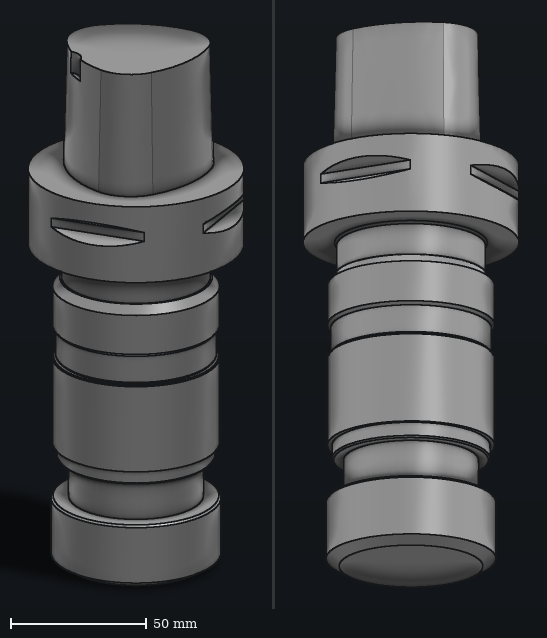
import cadquery as cq
import math

total_height = 203.0

nut_diameter = 63.0
nut_tip_diameter = 53.2
nut_tip_height = 2.8
nut_top = 25.5
nut_top_chamfer = 0.8
lower_neck_diameter = 50.0
collar_bottom = 41.0
collar_diameter = 58.5
collar_chamfer = 0.6
sleeve_bottom = 46.7
sleeve_top = 80.8
sleeve_diameter = 62.0
sleeve_top_chamfer = 0.5
band_top = 92.0
band_diameter = 59.5
undercut_diameter = 58.0
undercut_height = 0.8
ring_top = 112.1
ring_diameter = sleeve_diameter
ring_lower_cone_height = 1.2
ring_top_diameter = 56.5
ring_cone_height = 3.5
upper_neck_diameter = 55.0
neck_relief_height = 1.0
neck_relief_diameter = 56.5

shank_height = 48.0
flange_height = 30.0
flange_diameter = 80.0
flange_top = total_height - shank_height
flange_bottom = flange_top - flange_height
pocket_count = 4
pocket_drop = 12.0
pocket_center_z = flange_top - pocket_drop
first_pocket_angle = 45
pocket_clearance = 2.0
pocket_floor_distance = 35.3
pocket_floor_height = 3.5
pocket_wall_angle = 30.0

lobe_reach = 29.7
flat_reach = 25.4
lobe_radius = 16.7
lobe_center = lobe_reach - lobe_radius
taper_ratio = 1 / 40
shank_taper = math.degrees(math.atan(taper_ratio))

notch_radius = 7.3
notch_floor_y = -22.3
notch_height = 8.3


def polar(radius, degrees):
    angle = math.radians(degrees)
    return (radius * math.cos(angle), radius * math.sin(angle))


def make_body():
    """Revolved body from the nut to the top of the flange."""
    outline = [
        (0, 0),
        (nut_tip_diameter / 2, 0),
        (nut_diameter / 2, nut_tip_height),
        (nut_diameter / 2, nut_top - nut_top_chamfer),
        (nut_diameter / 2 - nut_top_chamfer, nut_top),
        (lower_neck_diameter / 2, nut_top),
        (lower_neck_diameter / 2, collar_bottom),
        (collar_diameter / 2 - collar_chamfer, collar_bottom),
        (collar_diameter / 2, collar_bottom + collar_chamfer),
        (collar_diameter / 2, sleeve_bottom),
        (sleeve_diameter / 2, sleeve_bottom),
        (sleeve_diameter / 2, sleeve_top - sleeve_top_chamfer),
        (sleeve_diameter / 2 - sleeve_top_chamfer, sleeve_top),
        (undercut_diameter / 2, sleeve_top),
        (band_diameter / 2, sleeve_top + undercut_height),
        (band_diameter / 2, band_top),
        (ring_diameter / 2, band_top + ring_lower_cone_height),
        (ring_diameter / 2, ring_top - ring_cone_height),
        (ring_top_diameter / 2, ring_top),
        (upper_neck_diameter / 2, ring_top),
        (upper_neck_diameter / 2, flange_bottom - neck_relief_height),
        (neck_relief_diameter / 2, flange_bottom),
        (flange_diameter / 2, flange_bottom),
        (flange_diameter / 2, flange_top),
        (0, flange_top),
    ]
    return cq.Workplane("XZ").polyline(outline).close().revolve(360, (0, 0), (0, 1))


def make_pocket(direction):
    """V-shaped cutter with a flat floor, pointing along the given direction."""
    outer = flange_diameter / 2 + pocket_clearance
    floor_half = pocket_floor_height / 2
    flare = (outer - pocket_floor_distance) * math.tan(math.radians(pocket_wall_angle))
    section = [
        (pocket_floor_distance, -floor_half),
        (outer, -floor_half - flare),
        (outer, floor_half + flare),
        (pocket_floor_distance, floor_half),
    ]
    cutter = cq.Workplane("XZ").polyline(section).close().extrude(flange_diameter / 2, both=True)
    return cutter.translate((0, 0, pocket_center_z)).rotate((0, 0, 0), (0, 0, 1), direction)


def make_shank():
    """Three small lobe arcs joined tangentially by three large side arcs."""
    gap = flat_reach - lobe_radius
    side_center = (lobe_center**2 - gap**2) / (2 * gap - lobe_center)
    lobe_x, lobe_y = polar(lobe_center, 30)
    tangent_angle = math.degrees(math.atan2(lobe_x, side_center + lobe_y))
    normal = 60 - tangent_angle
    joint_x, joint_y = polar(lobe_radius, normal)
    joint_x += lobe_center
    joint_radius = math.hypot(joint_x, joint_y)
    joint_angle = math.degrees(math.atan2(joint_y, joint_x))

    start = polar(joint_radius, 90 - joint_angle)
    sketch = cq.Workplane("XY", origin=(0, 0, flange_top)).moveTo(*start)
    for lobe in (90, 210, 330):
        sketch = sketch.threePointArc(polar(lobe_reach, lobe), polar(joint_radius, lobe + joint_angle))
        sketch = sketch.threePointArc(polar(flat_reach, lobe + 60), polar(joint_radius, lobe + 120 - joint_angle))
    return sketch.close().extrude(shank_height, taper=shank_taper)


def make_notch():
    floor = cq.Workplane("XY", origin=(0, notch_floor_y - notch_radius, total_height - notch_height))
    return floor.circle(notch_radius).extrude(notch_height)


result = make_body()
for index in range(pocket_count):
    result = result.cut(make_pocket(first_pocket_angle + index * 360 / pocket_count))
result = result.union(make_shank().cut(make_notch()))